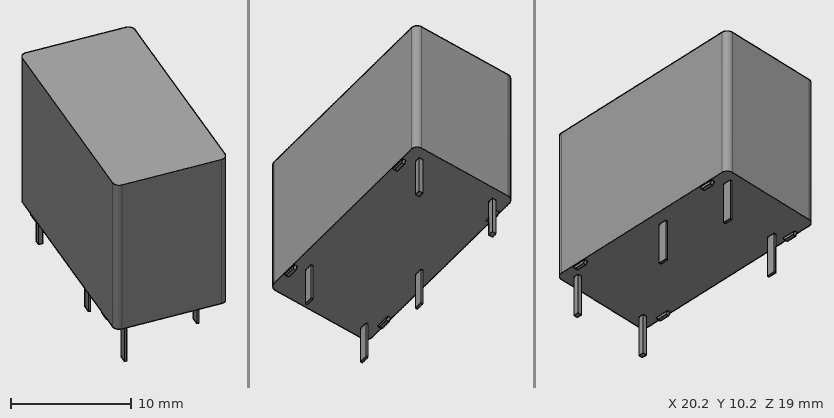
import cadquery as cq

case_length = 20.2
case_width = 10.2
overall_height = 19.0
pin_length = 4.1
case_height = overall_height - pin_length
corner_radius = 0.6

row_spacing = 7.62
front_row_y = -row_spacing / 2
back_row_y = row_spacing / 2
coil_pin_width = 0.5
coil_pin_thickness = 0.4
contact_pin_width = 0.8
contact_pin_thickness = 0.2
coil_pin_x = -8.87
front_contact_xs = (1.26, 8.87)
back_contact_x = 6.36

foot_spacing = 15.0
foot_length = 1.4
foot_width = 0.3
foot_height = 0.3
foot_end_taper = 0.2
foot_inset = 0.1
foot_y = case_width / 2 - foot_inset - foot_width / 2


def make_case():
    block = cq.Workplane("XY").box(case_length, case_width, case_height, centered=(True, True, False))
    return block.edges("|Z").fillet(corner_radius)


def make_pin(x, y, width, thickness):
    """Straight rectangular pin hanging from the underside of the case."""
    return cq.Workplane("XY").center(x, y).rect(width, thickness).extrude(-pin_length)


def make_foot(x, y):
    """Pad whose two ends slope inward toward its lower face."""
    top_half = foot_length / 2
    bottom_half = top_half - foot_end_taper
    profile = [
        (-top_half, 0),
        (top_half, 0),
        (bottom_half, -foot_height),
        (-bottom_half, -foot_height),
    ]
    pad = cq.Workplane("XZ").polyline(profile).close().extrude(foot_width / 2, both=True)
    return pad.translate((x, y, 0))


case = make_case()

coil_pins = [
    make_pin(coil_pin_x, y, coil_pin_width, coil_pin_thickness)
    for y in (front_row_y, back_row_y)
]

contact_places = [(x, front_row_y) for x in front_contact_xs]
contact_places.append((back_contact_x, back_row_y))
contact_pins = [
    make_pin(x, y, contact_pin_width, contact_pin_thickness)
    for x, y in contact_places
]

feet = [
    make_foot(x, y)
    for x in (-foot_spacing / 2, foot_spacing / 2)
    for y in (-foot_y, foot_y)
]

bodies = [case, *coil_pins, *contact_pins, *feet]
result = cq.Compound.makeCompound([body.val() for body in bodies])